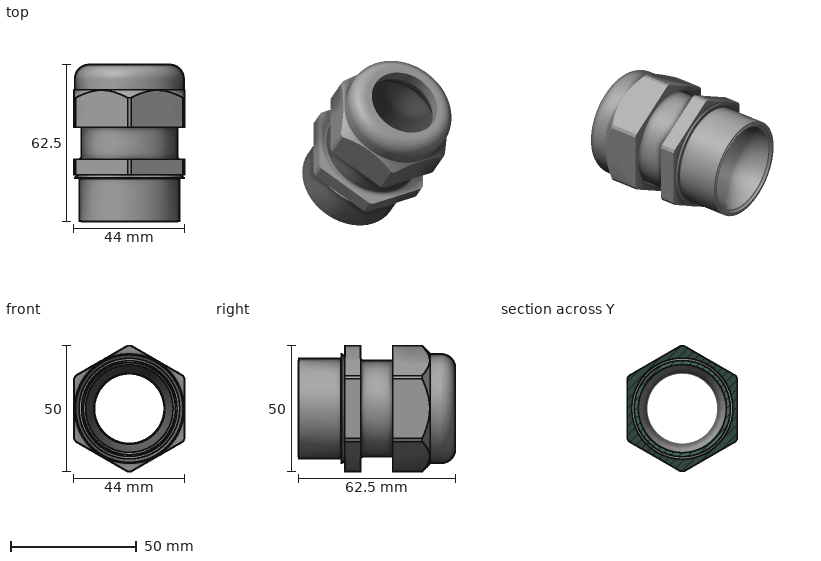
import cadquery as cq
import math

TOTAL_LENGTH = 62.5

HEX_ACROSS_FLATS = 44.0
HEX_ACROSS_CORNERS = 50.0

SPIGOT_RADIUS = 20.0
ROOT_RADIUS = 19.0
SPIGOT_START = 0.25
GROOVE_START = 17.0
BORE_RADIUS = 17.4
BORE_MOUTH_FILLET = 0.9
LIP_POSITION = 17.2
LIP_HEIGHT = 1.4
LIP_TIP_RADIUS = 21.75
LIP_TIP_WIDTH = 0.4
LIP_TIP_LAND = 0.2
LIP_DISH_DEPTH = 0.9
LIP_ROOT_FILLET = 0.5
BODY_HEX_HEIGHT = 6.25
NECK_RADIUS = 19.2
NECK_FILLET = 0.9
BODY_END = 50.0

NUT_START = 37.5
NUT_HEX_HEIGHT = 15.0
NUT_CAVITY_RADIUS = 20.0
DOME_RADIUS = 21.75
DOME_FILLET = 5.8
NUT_HOLE_RADIUS = 13.85
NUT_END_WALL = 5.0

SEAL_HOLE_RADIUS = 14.15

HEX_START = LIP_POSITION + LIP_HEIGHT
HEX_END = HEX_START + BODY_HEX_HEIGHT
NUT_HEX_END = NUT_START + NUT_HEX_HEIGHT
SEAL_END = TOTAL_LENGTH - NUT_END_WALL


def turned(outline):
    """Revolve a closed outline, drawn as x = radius, around the Y axis."""
    return outline.close().revolve(360, (0, 0, 0), (0, 1, 0))


def cylinder(radius, start, end):
    return turned(cq.Workplane("XY").polyline([(0, start), (radius, start), (radius, end), (0, end)]))


def hex_prism(start, height):
    """Hexagon with corners on +Z and -Z, its corners turned down to a cylinder."""
    prism = (
        cq.Workplane("XZ", origin=(0, start, 0))
        .polygon(6, HEX_ACROSS_FLATS, circumscribed=True)
        .extrude(-height)
    )
    return prism.intersect(cylinder(HEX_ACROSS_CORNERS / 2, start, start + height))


def make_spigot():
    """Threaded end: a root tube with a rounded mouth that carries the wider thread cylinder."""
    outline = (
        cq.Workplane("XY")
        .moveTo(BORE_RADIUS + BORE_MOUTH_FILLET, 0)
        .lineTo(ROOT_RADIUS, 0)
        .lineTo(ROOT_RADIUS, SPIGOT_START)
        .lineTo(SPIGOT_RADIUS, SPIGOT_START)
        .lineTo(SPIGOT_RADIUS, GROOVE_START)
        .lineTo(ROOT_RADIUS, GROOVE_START)
        .lineTo(ROOT_RADIUS, HEX_START)
        .lineTo(BORE_RADIUS, HEX_START)
        .lineTo(BORE_RADIUS, BORE_MOUTH_FILLET)
        .radiusArc((BORE_RADIUS + BORE_MOUTH_FILLET, 0), BORE_MOUTH_FILLET)
    )
    return turned(outline)


def make_lip():
    """Flared lip under the hexagon, dished on its free face and blended into the root tube."""
    dish_outer = LIP_TIP_RADIUS - LIP_TIP_WIDTH
    dish_width = dish_outer - ROOT_RADIUS
    dish_bottom = LIP_POSITION + LIP_DISH_DEPTH
    corner_angle = math.atan2(dish_width, LIP_DISH_DEPTH)
    tangent = LIP_ROOT_FILLET / math.tan(corner_angle / 2)
    blend_on_root = (ROOT_RADIUS, dish_bottom - tangent)
    blend_on_dish = (
        ROOT_RADIUS + tangent * math.sin(corner_angle),
        dish_bottom - tangent * math.cos(corner_angle),
    )
    outline = (
        cq.Workplane("XY")
        .moveTo(BORE_RADIUS, dish_bottom - tangent)
        .lineTo(*blend_on_root)
        .radiusArc(blend_on_dish, LIP_ROOT_FILLET)
        .lineTo(dish_outer, LIP_POSITION)
        .lineTo(LIP_TIP_RADIUS, LIP_POSITION)
        .lineTo(LIP_TIP_RADIUS, LIP_POSITION + LIP_TIP_LAND)
        .lineTo(LIP_TIP_RADIUS - LIP_HEIGHT + LIP_TIP_LAND, HEX_START)
        .lineTo(BORE_RADIUS, HEX_START)
    )
    return turned(outline)


def make_neck():
    """Tube above the hexagon, blended into it and reaching into the nut."""
    outline = (
        cq.Workplane("XY")
        .moveTo(BORE_RADIUS, HEX_END)
        .lineTo(NECK_RADIUS + NECK_FILLET, HEX_END)
        .radiusArc((NECK_RADIUS, HEX_END + NECK_FILLET), NECK_FILLET)
        .lineTo(NECK_RADIUS, BODY_END)
        .lineTo(BORE_RADIUS, BODY_END)
    )
    return turned(outline)


def make_body():
    hexagon = hex_prism(HEX_START, BODY_HEX_HEIGHT).cut(cylinder(BORE_RADIUS, HEX_START, HEX_END))
    return hexagon.union(make_spigot()).union(make_lip()).union(make_neck())


def make_seal():
    """Ring between the body and the end wall of the nut, with a funnel-shaped hole."""
    outline = cq.Workplane("XY").polyline([
        (BORE_RADIUS, BODY_END),
        (NUT_CAVITY_RADIUS, BODY_END),
        (NUT_CAVITY_RADIUS, SEAL_END),
        (SEAL_HOLE_RADIUS, SEAL_END),
    ])
    return turned(outline)


def make_nut():
    corner_radius = HEX_ACROSS_CORNERS / 2
    chamfer = corner_radius - DOME_RADIUS
    chamfered_blank = turned(cq.Workplane("XY").polyline([
        (0, NUT_START),
        (corner_radius, NUT_START),
        (corner_radius, NUT_HEX_END - chamfer),
        (DOME_RADIUS, NUT_HEX_END),
        (0, NUT_HEX_END),
    ]))
    hexagon = hex_prism(NUT_START, NUT_HEX_HEIGHT).intersect(chamfered_blank)
    dome = cylinder(DOME_RADIUS, NUT_HEX_END, TOTAL_LENGTH).faces(">Y").edges().fillet(DOME_FILLET)
    cavity = cylinder(NUT_CAVITY_RADIUS, NUT_START, SEAL_END)
    hole = cylinder(NUT_HOLE_RADIUS, SEAL_END, TOTAL_LENGTH)
    return hexagon.union(dome).cut(cavity).cut(hole)


body = make_body()
seal = make_seal()
nut = make_nut()

result = cq.Compound.makeCompound([body.val(), seal.val(), nut.val()])